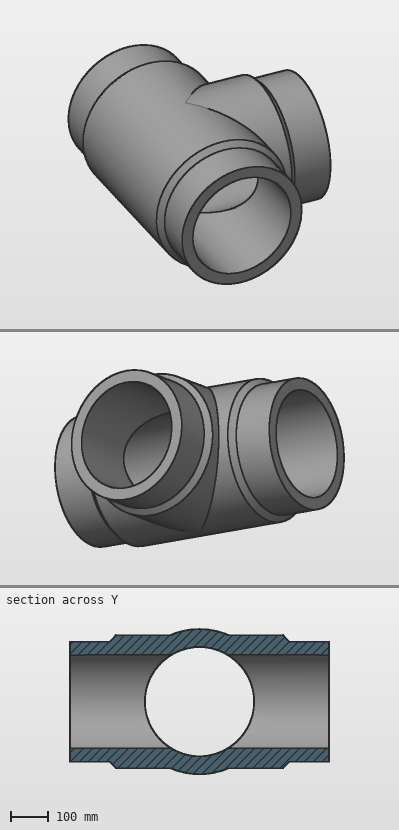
import cadquery as cq

run_length = 690.0
branch_reach = run_length / 2
spigot_diameter = 355.0
body_diameter = 387.0
bore_diameter = 290.5
spigot_length = 106.0

body_radius = body_diameter / 2
spigot_radius = spigot_diameter / 2
bore_radius = bore_diameter / 2
shoulder_height = body_radius - spigot_radius


def arm_outside(plane):
    """Solid arm from the tee centre: body, 45 degree shoulder, spigot."""
    body_length = branch_reach - spigot_length
    body = (
        cq.Workplane(plane)
        .circle(body_radius)
        .extrude(body_length)
        .faces(cq.selectors.DirectionMinMaxSelector(plane.zDir, True))
        .chamfer(shoulder_height)
    )
    spigot = cq.Workplane(plane).circle(spigot_radius).extrude(branch_reach)
    return body.union(spigot)


def arm_bore(plane):
    """Bore from the tee centre out through the end of an arm."""
    return cq.Workplane(plane).circle(bore_radius).extrude(branch_reach)


def arm_plane(direction):
    """Plane at the tee centre, facing along an arm."""
    return cq.Plane(origin=(0, 0, 0), xDir=(0, 0, 1), normal=direction)


left_arm = arm_plane((-1, 0, 0))
right_arm = arm_plane((1, 0, 0))
branch_arm = arm_plane((0, 1, 0))

run_outside = arm_outside(left_arm).union(arm_outside(right_arm))
tee_outside = run_outside.union(arm_outside(branch_arm))

run_bore = arm_bore(left_arm).union(arm_bore(right_arm))
tee_bore = run_bore.union(arm_bore(branch_arm))

result = tee_outside.cut(tee_bore).clean()